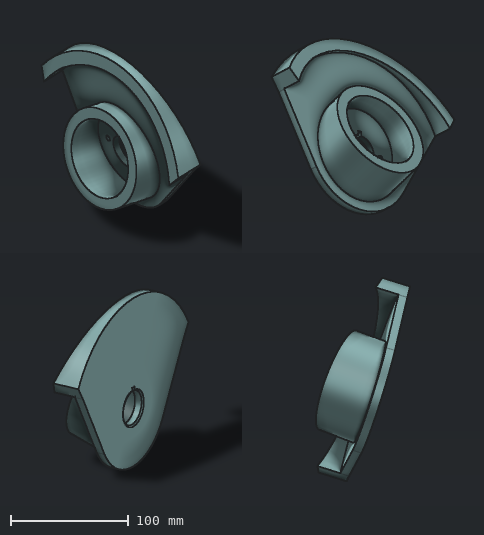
import cadquery as cq
import math

plate_thickness = 8.0
hub_end_radius = 53.5
rim_outer_radius = 101.0
rim_inner_radius = 89.0
rim_corner_x = 88.7
side_corner_x = 81.3

tilt = 17.0
face_distance = 38.0
boss_outer_radius = 45.0
boss_bore_radius = 35.0

shaft_hole_radius = 15.3
shaft_hole_chamfer = 1.5
keyway_width = 3.7
keyway_top = 19.2
pin_hole_radius = 2.5
pin_hole_offset = 22.0
pin_hole_depth = 4.5
clearance = 354.9

rim_corner_z = math.sqrt(rim_outer_radius**2 - rim_corner_x**2)
side_corner_z = math.sqrt(rim_inner_radius**2 - side_corner_x**2)

corner_angle = math.atan2(side_corner_z, side_corner_x)
tangent_angle = corner_angle - math.acos(hub_end_radius / rim_inner_radius)
tangent_x = hub_end_radius * math.cos(tangent_angle)
tangent_z = hub_end_radius * math.sin(tangent_angle)

back = cq.Workplane("XZ")
tilted = back.transformed(rotate=(-tilt, 0, 0))


def make_plate():
    return (
        back.moveTo(-rim_corner_x, rim_corner_z)
        .threePointArc((0, rim_outer_radius), (rim_corner_x, rim_corner_z))
        .lineTo(side_corner_x, side_corner_z)
        .lineTo(tangent_x, tangent_z)
        .threePointArc((0, -hub_end_radius), (-tangent_x, tangent_z))
        .lineTo(-side_corner_x, side_corner_z)
        .close()
        .extrude(plate_thickness)
    )


def make_rim():
    blank = (
        back.moveTo(-rim_corner_x, rim_corner_z)
        .threePointArc((0, rim_outer_radius), (rim_corner_x, rim_corner_z))
        .lineTo(side_corner_x, side_corner_z)
        .threePointArc((0, rim_inner_radius), (-side_corner_x, side_corner_z))
        .close()
        .extrude(face_distance)
    )
    beyond_face = tilted.workplane(offset=face_distance).rect(clearance, clearance).extrude(clearance)
    return blank.cut(beyond_face)


def make_boss():
    """Tilted tube, trimmed flush with the back and open down to the plate."""
    tube = (
        tilted.workplane(offset=-face_distance)
        .circle(boss_outer_radius)
        .circle(boss_bore_radius)
        .extrude(2 * face_distance)
    )
    behind_plate = back.rect(clearance, clearance).extrude(-clearance)
    return tube.cut(behind_plate)


def make_keyed_hole():
    shaft_hole = back.circle(shaft_hole_radius).extrude(plate_thickness)
    keyway = back.center(0, keyway_top / 2).rect(keyway_width, keyway_top).extrude(plate_thickness)
    lead_in = cq.Workplane(
        cq.Solid.makeCone(
            shaft_hole_radius + shaft_hole_chamfer,
            shaft_hole_radius,
            shaft_hole_chamfer,
            dir=cq.Vector(0, -1, 0),
        )
    )
    return shaft_hole.union(keyway).union(lead_in)


def make_pin_holes():
    """Blind holes sunk from the plate's front face."""
    return (
        back.workplane(offset=plate_thickness)
        .pushPoints([(-pin_hole_offset, 0), (pin_hole_offset, 0)])
        .circle(pin_hole_radius)
        .extrude(-pin_hole_depth)
    )


body = make_plate().union(make_rim()).union(make_boss())
result = body.cut(make_keyed_hole()).cut(make_pin_holes())